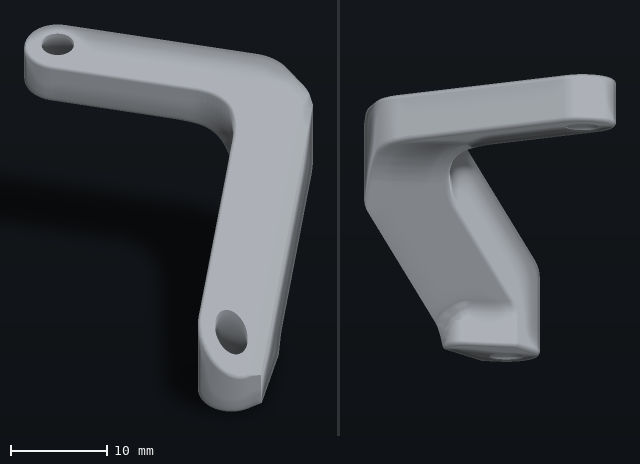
import cadquery as cq
import math

overall_length = 41.0
overall_height = 22.75
overall_depth = 21.9
end_radius = 3.5
hole_diameter = 3.4
plate_thickness = 5.0
edge_radius = 0.5

elbow_inner_radius = 5.0
elbow_outer_radius = 5.0

slope_top_corner_x = 2.4
slope_vertical_thickness = 9.15
slope_top_bend_radius = 5.0
slope_under_bend_radius = 10.0

foot_inner_x = 12.0
foot_corner_radius = 2.0
foot_blend_radius = 2.0

bevel_plan_width = 1.02
bevel_angle = 14.0

end_x = overall_length / 2
hole_x = end_x - end_radius
back_y = overall_depth - end_radius
outer_apex_y = hole_x + end_radius * math.sqrt(2)
inner_apex_y = hole_x - end_radius * math.sqrt(2)
tangent_offset = end_radius / math.sqrt(2)
back_corner_x = outer_apex_y - back_y
plate_bottom_z = overall_height - plate_thickness
slope_top_foot_x = slope_top_corner_x + overall_height
slope_under_foot_x = slope_top_foot_x - slope_vertical_thickness
slope_under_corner_x = slope_under_foot_x - plate_bottom_z
foot_top_z = slope_under_foot_x - foot_inner_x
foot_wall_front_y = inner_apex_y - foot_inner_x
foot_back_corner_y = outer_apex_y - foot_inner_x
foot_corner_angle = math.radians(45)
foot_wall_back_y = foot_back_corner_y - foot_corner_radius / math.tan(foot_corner_angle / 2)
foot_wall_middle_y = (foot_wall_front_y + foot_wall_back_y) / 2
split_y = (inner_apex_y + back_y) / 2
far = 2 * overall_length


def nearest(x, y, z):
    """Selector for the edge whose middle is closest to a point."""
    return cq.selectors.NearestToPointSelector((x, y, z))


def elbow_block():
    """V-shaped plan of the arm, extruded over the full height; its right back corners stay sharp."""
    block = (
        cq.Workplane("XY")
        .moveTo(-hole_x + tangent_offset, -tangent_offset)
        .lineTo(0, inner_apex_y)
        .lineTo(hole_x - tangent_offset, -tangent_offset)
        .threePointArc((hole_x + tangent_offset, -tangent_offset), (end_x, 0))
        .lineTo(end_x, outer_apex_y - end_x)
        .lineTo(back_corner_x, back_y)
        .lineTo(-back_corner_x, back_y)
        .lineTo(-hole_x - tangent_offset, tangent_offset)
        .threePointArc(
            (-hole_x - tangent_offset, -tangent_offset),
            (-hole_x + tangent_offset, -tangent_offset),
        )
        .close()
        .extrude(overall_height)
    )
    block = block.edges(nearest(0, inner_apex_y, overall_height / 2)).fillet(elbow_inner_radius)
    return block.edges(nearest(-back_corner_x, back_y, overall_height / 2)).fillet(elbow_outer_radius)


def extrude_along_y(points):
    """Prism with the given XZ outline, passing through the whole depth."""
    return cq.Workplane("XZ").polyline(points).close().extrude(far, both=True)


def drop_prism():
    """Flat plate that bends down into the slope, running through the whole depth."""
    prism = extrude_along_y(
        [
            (-far, overall_height),
            (slope_top_corner_x, overall_height),
            (slope_top_foot_x, 0),
            (slope_under_foot_x, 0),
            (slope_under_corner_x, plate_bottom_z),
            (-far, plate_bottom_z),
        ]
    )
    prism = prism.edges(nearest(slope_top_corner_x, 0, overall_height)).fillet(slope_top_bend_radius)
    return prism.edges(nearest(slope_under_corner_x, 0, plate_bottom_z)).fillet(slope_under_bend_radius)


def foot(block):
    """Upright end of the arm below the slope, with its acute back corner rounded."""
    prism = extrude_along_y([(foot_inner_x, 0), (far, 0), (far, far), (foot_inner_x, far)])
    corner = nearest(foot_inner_x, foot_back_corner_y, overall_height / 2)
    upright = block.intersect(prism).edges(corner).fillet(foot_corner_radius)
    below_slope = extrude_along_y([(-far, 0), (slope_top_foot_x, 0), (-far, slope_top_foot_x + far)])
    return upright.intersect(below_slope)


def round_lower_edges(arm):
    """Blend the foot into the slope, then round the underside and the foot base."""
    arm = arm.edges(nearest(foot_inner_x, foot_wall_middle_y, foot_top_z)).fillet(foot_blend_radius)
    arm = arm.edges(nearest(-hole_x / 2, inner_apex_y / 2, plate_bottom_z)).fillet(edge_radius)
    return arm.edges(nearest(foot_inner_x, foot_wall_middle_y, 0)).fillet(edge_radius)


def round_upper_edges(arm, block):
    """Round the top: the front rounding follows the bend, the back one runs straight and fades into it."""
    front_half = cq.Workplane("XY").box(far, far, far).translate((0, split_y - far / 2, 0))
    left_edge = nearest(-hole_x / 2, inner_apex_y / 2, overall_height)
    front = arm.intersect(front_half).edges(left_edge).fillet(edge_radius)
    rounded_block = block.edges(left_edge).fillet(edge_radius)
    back = arm.cut(front_half).intersect(rounded_block)
    return front.union(back)


def bevel_cutter():
    """Block above a plane tilted slightly from the slope about a line parallel to its back edge."""
    along_edge = cq.Vector(1, -1, -1).normalized()
    slope_normal = cq.Vector(1, 0, 1).normalized()
    toward_back = slope_normal.cross(along_edge)
    tilt = math.radians(bevel_angle)
    normal = slope_normal * math.cos(tilt) + toward_back * math.sin(tilt)
    line_y = outer_apex_y - bevel_plan_width * math.sqrt(2)
    plane = cq.Plane(origin=(0, line_y, slope_top_foot_x), xDir=along_edge, normal=normal)
    return cq.Workplane(plane).rect(far, far).extrude(far)


def holes():
    """Vertical pins for the two bolt holes."""
    return cq.Workplane("XY").pushPoints([(-hole_x, 0), (hole_x, 0)]).circle(hole_diameter / 2).extrude(far)


block = elbow_block()
arm = block.intersect(drop_prism()).union(foot(block))
arm = round_lower_edges(arm)
arm = round_upper_edges(arm, block)
result = arm.cut(bevel_cutter()).cut(holes())